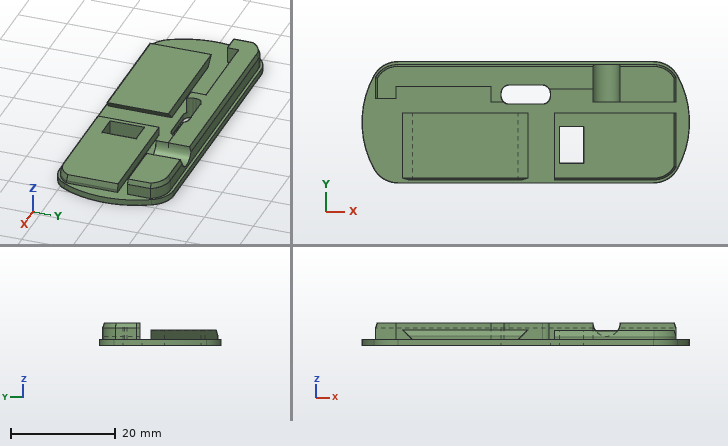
import cadquery as cq
import math

length = 62.8
width = 23.3
plate_thickness = 1.2
end_radius = 18.5
corner_radius = 5.3

edge_inset = 0.6
envelope_half_length = 28.8
envelope_corner_x = 24.6
envelope_corner_radius = 4.8
bevel_width = 0.35

rim_top = 4.4
rim_bevel_height = 1.0
left_pad_top = 3.05
right_pad_top = 2.9
pad_bevel_height = 1.2

left_leg_end_x = -24.9
left_leg_y = 4.6
recess_y = 6.9
recess_end_x = -6.7
lug_y = 3.85
right_recess_y = 6.35
block_start_x = 12.9

groove_radius = 2.6
groove_x = block_start_x + groove_radius

pad_back_y = 1.8
left_pad_start_x = -23.6
left_pad_end_x = 0.4
right_pad_start_x = 5.55

slot_length = 9.4
slot_width = 3.6
slot_y = 5.3
slot_corner_radius = 1.5
window_length = 4.6
window_width = 7.0
window_x = 8.8
window_y = -4.35


def plate_outline():
    """Long straight sides and bowed ends, joined by tangent corner arcs."""
    half_width = width / 2
    tip_x = length / 2
    end_center_x = tip_x - end_radius
    corner_y = half_width - corner_radius
    corner_x = end_center_x + math.sqrt((end_radius - corner_radius) ** 2 - corner_y ** 2)
    joint_angle = math.atan2(corner_y, corner_x - end_center_x)
    mid_angle = (joint_angle + math.pi / 2) / 2
    joint_x = corner_x + corner_radius * math.cos(joint_angle)
    joint_y = corner_y + corner_radius * math.sin(joint_angle)
    mid_x = corner_x + corner_radius * math.cos(mid_angle)
    mid_y = corner_y + corner_radius * math.sin(mid_angle)
    return (
        cq.Workplane("XY")
        .moveTo(-corner_x, half_width)
        .lineTo(corner_x, half_width)
        .threePointArc((mid_x, mid_y), (joint_x, joint_y))
        .threePointArc((tip_x, 0), (joint_x, -joint_y))
        .threePointArc((mid_x, -mid_y), (corner_x, -half_width))
        .lineTo(-corner_x, -half_width)
        .threePointArc((-mid_x, -mid_y), (-joint_x, -joint_y))
        .threePointArc((-tip_x, 0), (-joint_x, joint_y))
        .threePointArc((-mid_x, mid_y), (-corner_x, half_width))
        .close()
    )


def raised_envelope(top, bevel_height):
    """Straight-sided outline with arcs tangent to the long sides, bevelled round its top."""
    half_x = envelope_half_length
    half_y = width / 2 - edge_inset
    arc_center_y = half_y - envelope_corner_radius
    arc_end_y = arc_center_y + math.sqrt(envelope_corner_radius ** 2 - (half_x - envelope_corner_x) ** 2)
    return (
        cq.Workplane("XY")
        .moveTo(-envelope_corner_x, half_y)
        .lineTo(envelope_corner_x, half_y)
        .radiusArc((half_x, arc_end_y), envelope_corner_radius)
        .lineTo(half_x, -arc_end_y)
        .radiusArc((envelope_corner_x, -half_y), envelope_corner_radius)
        .lineTo(-envelope_corner_x, -half_y)
        .radiusArc((-half_x, -arc_end_y), envelope_corner_radius)
        .lineTo(-half_x, arc_end_y)
        .radiusArc((-envelope_corner_x, half_y), envelope_corner_radius)
        .close()
        .extrude(top)
        .faces(">Z")
        .chamfer(bevel_height, bevel_width)
    )


def make_rim():
    profile = (
        cq.Workplane("XY")
        .moveTo(-length / 2, width / 2)
        .lineTo(-length / 2, left_leg_y)
        .lineTo(left_leg_end_x, left_leg_y)
        .lineTo(left_leg_end_x, recess_y)
        .lineTo(recess_end_x, recess_y)
        .lineTo(recess_end_x, lug_y)
        .lineTo(0, lug_y)
        .lineTo(0, right_recess_y)
        .lineTo(block_start_x, right_recess_y)
        .lineTo(block_start_x, lug_y)
        .lineTo(length / 2, lug_y)
        .lineTo(length / 2, width / 2)
        .close()
        .extrude(rim_top)
    )
    groove = (
        cq.Workplane("XZ")
        .center(groove_x, rim_top)
        .circle(groove_radius)
        .extrude(-width / 2)
    )
    return profile.intersect(raised_envelope(rim_top, rim_bevel_height)).cut(groove)


def make_left_pad():
    """Pad whose two ends lean inwards at 45 degrees towards the plate."""
    undercut = left_pad_top - plate_thickness
    profile = (
        cq.Workplane("XZ", origin=(0, pad_back_y, 0))
        .moveTo(left_pad_start_x, left_pad_top)
        .lineTo(left_pad_end_x, left_pad_top)
        .lineTo(left_pad_end_x - undercut, plate_thickness)
        .lineTo(left_pad_start_x + undercut, plate_thickness)
        .close()
        .extrude(width)
    )
    return profile.intersect(raised_envelope(left_pad_top, pad_bevel_height))


def make_right_pad():
    block = (
        cq.Workplane("XY")
        .moveTo(right_pad_start_x, -width / 2)
        .lineTo(length / 2, -width / 2)
        .lineTo(length / 2, pad_back_y)
        .lineTo(right_pad_start_x, pad_back_y)
        .close()
        .extrude(right_pad_top)
    )
    return block.intersect(raised_envelope(right_pad_top, pad_bevel_height))


def make_slot():
    return (
        cq.Workplane("XY")
        .center(0, slot_y)
        .rect(slot_length, slot_width)
        .extrude(rim_top)
        .edges("|Z")
        .fillet(slot_corner_radius)
    )


def make_window():
    return (
        cq.Workplane("XY")
        .center(window_x, window_y)
        .rect(window_length, window_width)
        .extrude(rim_top)
    )


plate = plate_outline().extrude(plate_thickness)
body = plate.union(make_rim()).union(make_left_pad()).union(make_right_pad())
result = body.cut(make_slot()).cut(make_window())